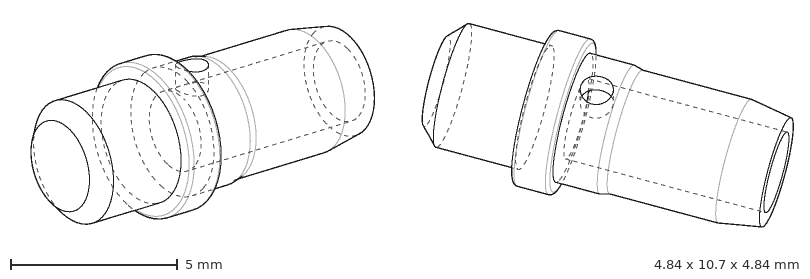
import cadquery as cq

length = 10.68
nose_end = -length / 2
tail_end = length / 2

body_diameter = 3.85
flange_diameter = 4.84
collar_diameter = 4.0
tail_diameter = 3.4
bore_diameter = 2.5
cross_hole_diameter = 0.99

nose_length = 3.1
nose_chamfer = 0.51
flange_width = 1.2
flange_round = 0.11
collar_width = 1.68
collar_taper = 0.29
tail_taper = 1.3
cross_hole_offset = 0.75
bore_overrun = 0.64

body_radius = body_diameter / 2
flange_radius = flange_diameter / 2
collar_radius = collar_diameter / 2
tail_radius = tail_diameter / 2

flange_front = nose_end + nose_length
flange_back = flange_front + flange_width
collar_back = flange_back + collar_width
cross_hole_y = flange_back + cross_hole_offset
bore_floor = cross_hole_y - bore_overrun


def cylinder(diameter, start, end):
    """Solid cylinder around the Y axis between two Y positions."""
    return (
        cq.Workplane("XZ", origin=(0, start, 0))
        .circle(diameter / 2)
        .extrude(start - end)
    )


def turned_body():
    """Nose, main body and tapered tail, revolved with the collar."""
    return (
        cq.Workplane("XY")
        .moveTo(0, nose_end)
        .lineTo(body_radius - nose_chamfer, nose_end)
        .lineTo(body_radius, nose_end + nose_chamfer)
        .lineTo(body_radius, flange_back)
        .lineTo(collar_radius, flange_back)
        .lineTo(collar_radius, collar_back - collar_taper)
        .lineTo(body_radius, collar_back)
        .lineTo(body_radius, tail_end - tail_taper)
        .lineTo(tail_radius, tail_end)
        .lineTo(0, tail_end)
        .close()
        .revolve(360, (0, 0, 0), (0, 1, 0))
    )


def flange():
    """Stop flange with rounded rims."""
    disc = cylinder(flange_diameter, flange_front, flange_back)
    return disc.edges().fillet(flange_round)


cross_hole = (
    cq.Workplane("XY", origin=(0, cross_hole_y, 0))
    .circle(cross_hole_diameter / 2)
    .extrude(flange_radius)
)
bore = cylinder(bore_diameter, bore_floor, tail_end)

result = turned_body().union(flange()).cut(bore).cut(cross_hole)